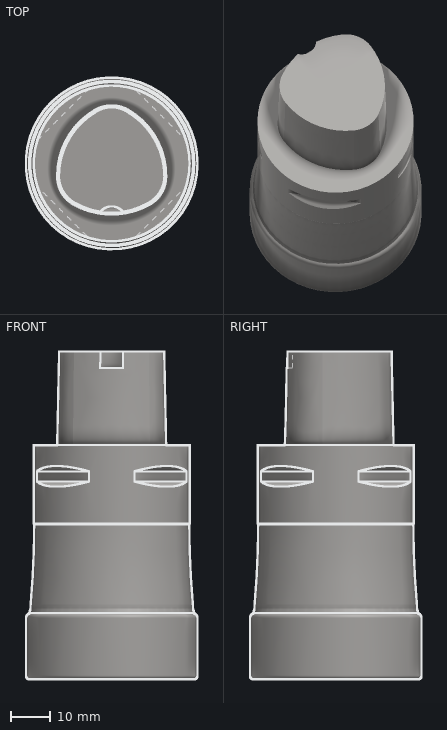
import cadquery as cq
import math

total_height = 84.0
shoulder_height = 60.0
shank_height = total_height - shoulder_height

nut_diameter = 44.0
nut_height = 17.0
nut_top_round = 1.3
nut_bottom_round = 0.9

flange_diameter = 40.0
flange_radius = flange_diameter / 2
flange_bottom = 40.0
flange_step = 0.1
step_height = 0.25
collar_radius = 20.8
collar_top = 19.1
collar_flare_start = 18.05
collar_base_radius = 21.2

lobe_count = 3
lobe_reach = 14.9
shank_flat_reach = 13.1
shank_taper = 1.2

notch_radius = 3.7
notch_depth = 4.2
notch_inner_reach = 11.0

slot_count = 4
slot_middle = 52.0
slot_floor_reach = 17.6
slot_floor_height = 2.6
slot_wall_angle = 30.0
slot_margin = 1.7


def polar(distance, degrees):
    angle = math.radians(degrees)
    return distance * math.cos(angle), distance * math.sin(angle)


def make_nut():
    nut = cq.Workplane("XY").circle(nut_diameter / 2).extrude(nut_height)
    nut = nut.faces(">Z").edges().fillet(nut_top_round)
    return nut.faces("<Z").edges().fillet(nut_bottom_round)


def make_turned_body():
    """Revolved flange, concave waist and collar standing on the nut."""
    waist_top = flange_bottom - step_height
    waist_top_radius = flange_radius - flange_step
    waist_middle = (waist_top + collar_top) / 2
    waist_middle_radius = waist_top_radius + (collar_radius - waist_top_radius) / 4
    profile = (
        cq.Workplane("XZ")
        .moveTo(0, nut_height)
        .lineTo(collar_base_radius, nut_height)
        .lineTo(collar_radius, collar_flare_start)
        .lineTo(collar_radius, collar_top)
        .threePointArc((waist_middle_radius, waist_middle), (waist_top_radius, waist_top))
        .lineTo(flange_radius, flange_bottom)
        .lineTo(flange_radius, shoulder_height)
        .lineTo(0, shoulder_height)
        .close()
    )
    return profile.revolve(360, (0, 0, 0), (0, 1, 0))


def make_shank():
    """Constant-width trilobe of tangent arcs, one lobe pointing along +Y."""
    centre_offset = (lobe_reach - shank_flat_reach) / (2 - math.sqrt(3))
    lobe_radius = lobe_reach - centre_offset
    lobe_pitch = 360 / lobe_count

    def lobe_end(lobe_angle, turn):
        centre_x, centre_y = polar(centre_offset, lobe_angle)
        x, y = polar(lobe_radius, lobe_angle + turn)
        return centre_x + x, centre_y + y

    half_sweep = lobe_pitch / 4
    first_lobe = 90
    outline = cq.Workplane("XY").workplane(offset=shoulder_height)
    outline = outline.moveTo(*lobe_end(first_lobe, -half_sweep))
    for index in range(lobe_count):
        lobe = first_lobe + index * lobe_pitch
        next_lobe = lobe + lobe_pitch
        flank_middle = polar(shank_flat_reach, lobe + lobe_pitch / 2)
        outline = outline.threePointArc(polar(lobe_reach, lobe), lobe_end(lobe, half_sweep))
        outline = outline.threePointArc(flank_middle, lobe_end(next_lobe, -half_sweep))
    return outline.close().extrude(shank_height, taper=shank_taper)


def make_notch_cutter():
    return (
        cq.Workplane("XY")
        .workplane(offset=total_height - notch_depth)
        .center(0, -notch_inner_reach - notch_radius)
        .circle(notch_radius)
        .extrude(notch_depth)
    )


def make_slot_cutter(angle):
    """Straight cutter across the flange, widening outwards from its floor."""
    outer_reach = flange_radius + slot_margin
    floor_half = slot_floor_height / 2
    rise = (outer_reach - slot_floor_reach) * math.tan(math.radians(slot_wall_angle))
    mouth_half = floor_half + rise
    cutter = (
        cq.Workplane("XZ")
        .polyline([
            (slot_floor_reach, slot_middle - floor_half),
            (outer_reach, slot_middle - mouth_half),
            (outer_reach, slot_middle + mouth_half),
            (slot_floor_reach, slot_middle + floor_half),
        ])
        .close()
        .extrude(flange_radius, both=True)
    )
    return cutter.rotate((0, 0, 0), (0, 0, 1), angle)


def make_holder():
    holder = make_turned_body().union(make_shank()).cut(make_notch_cutter())
    slot_pitch = 360 / slot_count
    for index in range(slot_count):
        holder = holder.cut(make_slot_cutter((index + 0.5) * slot_pitch))
    return holder


nut = make_nut()
holder = make_holder()

result = cq.Compound.makeCompound([nut.val(), holder.val()])